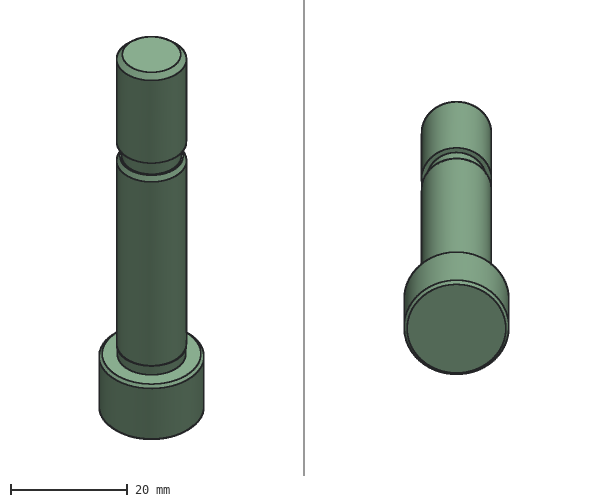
import cadquery as cq

total_length = 77.0
head_diameter = 18.0
head_height = 12.0
shank_diameter = 12.0

relief_diameter = 11.8
relief_length = 2.0

groove_diameter = 10.25
groove_bottom = 55.0
groove_width = 3.1

head_chamfer = 0.55
tip_chamfer = 1.0
shoulder_chamfer_height = 1.0
shoulder_chamfer_depth = 0.58

head_radius = head_diameter / 2
shank_radius = shank_diameter / 2
relief_radius = relief_diameter / 2
groove_radius = groove_diameter / 2
relief_top = head_height + relief_length
groove_top = groove_bottom + groove_width

profile = [
    (0, 0),
    (head_radius - head_chamfer, 0),
    (head_radius, head_chamfer),
    (head_radius, head_height - head_chamfer),
    (head_radius - head_chamfer, head_height),
    (relief_radius, head_height),
    (relief_radius, relief_top),
    (shank_radius, relief_top),
    (shank_radius, groove_bottom - shoulder_chamfer_height),
    (shank_radius - shoulder_chamfer_depth, groove_bottom),
    (groove_radius, groove_bottom),
    (groove_radius, groove_top),
    (shank_radius, groove_top),
    (shank_radius, total_length - tip_chamfer),
    (shank_radius - tip_chamfer, total_length),
    (0, total_length),
]

result = cq.Workplane("XZ").polyline(profile).close().revolve(360, (0, 0), (0, 1))